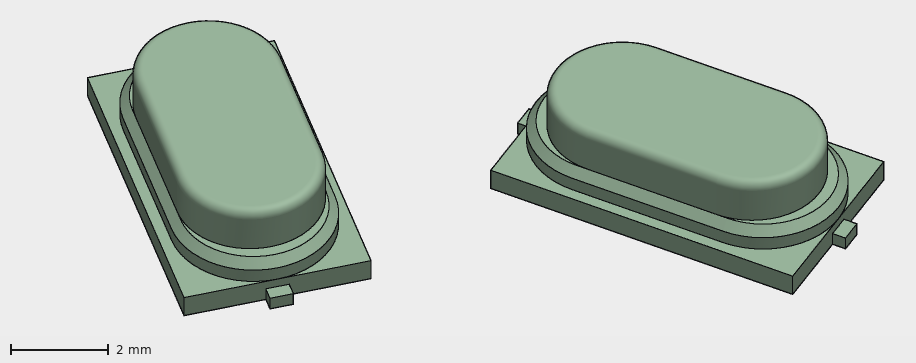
import cadquery as cq

base_length = 7.0
base_width = 4.0
base_height = 0.5

overall_length = 7.6
tab_width = 0.5
tab_height = 0.3

flange_length = base_length
flange_width = 3.495
flange_height = 0.51
flange_chamfer = 0.2

can_length = 6.1
can_width = flange_width - 2 * flange_chamfer
overall_height = 2.01
can_fillet = 0.2

flange_top = base_height + flange_height
can_height = overall_height - flange_top


def rounded_block(length, width, height, bottom):
    """Block with full-round ends along X, standing at the given level."""
    return cq.Workplane("XY").workplane(offset=bottom).slot2D(length, width).extrude(height)


base = cq.Workplane("XY").box(base_length, base_width, base_height, centered=(True, True, False))

tabs = cq.Workplane("XY").box(overall_length, tab_width, tab_height, centered=(True, True, False))

flange = rounded_block(flange_length, flange_width, flange_height, base_height)
flange = flange.faces(">Z").edges().chamfer(flange_chamfer)

can = rounded_block(can_length, can_width, can_height, flange_top)
can = can.faces(">Z").edges().fillet(can_fillet)

result = base.union(tabs).union(flange).union(can)